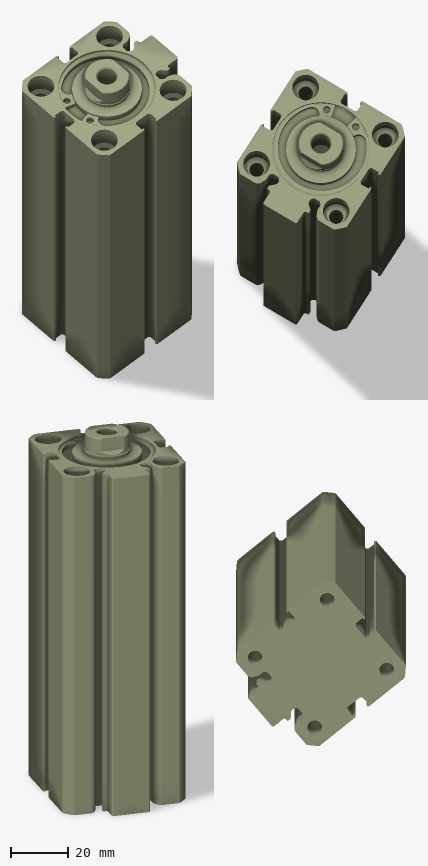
import cadquery as cq
import math

TOTAL_LENGTH = 133.0
ROD_PROJECTION = 7.0
BODY_WIDTH = 45.0
HOUSING_LENGTH = TOTAL_LENGTH - ROD_PROJECTION
HALF_WIDTH = BODY_WIDTH / 2

CORNER_TURN_DIAMETER = 59.2
RAIL_HEIGHT = 5.0
RAIL_WIDTH = 13.8
RAIL_CORNER_CHAMFER = 0.4
RAIL_TOP = HALF_WIDTH + RAIL_HEIGHT

RAIL_LIP_HALF_WIDTH = 8.5
RAIL_LIP_TOP = 22.1
RAIL_LIP_BOTTOM = 20.7
RAIL_LIP_SLOPE = 0.5
RAIL_NECK_HALF_WIDTH = 7.0
RAIL_NECK_TOP = 19.4
UNDERCUT_HALF_WIDTH = 6.4
UNDERCUT_HEIGHT = 18.0
GROOVE_FLOOR = 16.4
GROOVE_FLOOR_START = 7.5
GROOVE_OUTER_WALL = 10.5
GROOVE_FLOOR_CHAMFER = 0.9
GROOVE_WALL_TOP = 19.4
GROOVE_MOUTH = 11.3
GROOVE_MOUTH_HEIGHT = 21.1
GROOVE_ROUND_END = 13.0

SLOT_MOUTH_WIDTH = 6.0
SLOT_THROAT_WIDTH = 5.5
SLOT_WIDTH = 6.9
SLOT_LIP = 0.8
SLOT_DEPTH = 4.5
SLOT_FLOOR_CHAMFER = 0.7

MOUNT_PITCH = 32.6
MOUNT_HOLE_DIAMETER = 5.0
COUNTERBORE_DIAMETER = 9.3
COUNTERBORE_DEPTH = 7.3

RECESS_DIAMETER = 34.0
BORE_DIAMETER = 31.9
BORE_FLOOR = 10.6

RING_TOP_GAP = 0.9
RING_THICKNESS = 1.7
RING_OUTER_DIAMETER = 35.4
RING_INNER_DIAMETER = 31.0
RING_INNER_OFFSET = 0.8
RING_GAP_HALF_ANGLE = 14.7
LUG_END_ANGLE = 34.0
LUG_INNER_RADIUS = 12.4
LUG_FILLET = 2.7
LUG_HOLE_DIAMETER = 2.7
LUG_HOLE_RADIUS = 14.8
LUG_HOLE_ANGLE = 23.7

BOSS_DIAMETER = 24.3
BOSS_TOP_GAP = 0.4
COLLAR_LENGTH = 16.0
FLANGE_THICKNESS = 1.3
FLANGE_TOP = HOUSING_LENGTH - RING_TOP_GAP - RING_THICKNESS
RECESS_FLOOR = FLANGE_TOP - FLANGE_THICKNESS

ROD_DIAMETER = 16.0
ROD_NOSE_DIAMETER = 15.4
ROD_STEP_HEIGHT = 0.5
ROD_END_CHAMFER = 0.3
FLATS_WIDTH = 12.8
FLATS_LENGTH = 4.8
THREAD_HOLE_DIAMETER = 6.9
THREAD_HOLE_DEPTH = 13.3
THREAD_HOLE_MOUTH_DIAMETER = 7.8
DRILL_POINT_ANGLE = 118.0


def cylinder(diameter, bottom, top):
    return cq.Workplane("XY").workplane(offset=bottom).circle(diameter / 2).extrude(top - bottom)


def polar(radius, angle):
    """Point at an angle in degrees from -Y, positive towards +X."""
    return radius * math.sin(math.radians(angle)), -radius * math.cos(math.radians(angle))


def rail_groove_right():
    """Groove between the rail and the +X half of the +Y face, with the space above it."""
    side = RAIL_WIDTH / 2
    return (
        cq.Workplane("XY")
        .moveTo(side - RAIL_CORNER_CHAMFER, RAIL_TOP)
        .lineTo(side, RAIL_TOP - RAIL_CORNER_CHAMFER)
        .lineTo(side, RAIL_LIP_TOP + RAIL_LIP_SLOPE)
        .lineTo(side + RAIL_LIP_SLOPE, RAIL_LIP_TOP)
        .lineTo(RAIL_LIP_HALF_WIDTH, RAIL_LIP_TOP)
        .lineTo(RAIL_LIP_HALF_WIDTH, RAIL_LIP_BOTTOM)
        .lineTo(RAIL_NECK_HALF_WIDTH, RAIL_NECK_TOP)
        .threePointArc((UNDERCUT_HALF_WIDTH, UNDERCUT_HEIGHT), (GROOVE_FLOOR_START, GROOVE_FLOOR))
        .lineTo(GROOVE_OUTER_WALL - GROOVE_FLOOR_CHAMFER, GROOVE_FLOOR)
        .lineTo(GROOVE_OUTER_WALL, GROOVE_FLOOR + GROOVE_FLOOR_CHAMFER)
        .lineTo(GROOVE_OUTER_WALL, GROOVE_WALL_TOP)
        .lineTo(GROOVE_MOUTH, GROOVE_MOUTH_HEIGHT)
        .tangentArcPoint((GROOVE_ROUND_END, HALF_WIDTH), relative=False)
        .lineTo(HALF_WIDTH, HALF_WIDTH)
        .lineTo(HALF_WIDTH, RAIL_TOP)
        .close()
        .extrude(HOUSING_LENGTH)
    )


def t_slot():
    """Lipped slot cut into the -Y face along the whole housing."""
    floor = -HALF_WIDTH + SLOT_DEPTH
    half_profile = [
        (SLOT_MOUTH_WIDTH / 2, -HALF_WIDTH),
        (SLOT_THROAT_WIDTH / 2, -HALF_WIDTH + SLOT_LIP / 2),
        (SLOT_THROAT_WIDTH / 2, -HALF_WIDTH + SLOT_LIP),
        (SLOT_WIDTH / 2, -HALF_WIDTH + SLOT_LIP),
        (SLOT_WIDTH / 2, floor - SLOT_FLOOR_CHAMFER),
        (SLOT_WIDTH / 2 - SLOT_FLOOR_CHAMFER, floor),
    ]
    mirrored = [(-x, y) for x, y in reversed(half_profile)]
    return cq.Workplane("XY").polyline(half_profile + mirrored).close().extrude(HOUSING_LENGTH)


def make_housing():
    square = cq.Workplane("XY").rect(BODY_WIDTH, BODY_WIDTH).extrude(HOUSING_LENGTH)
    housing = square.intersect(cylinder(CORNER_TURN_DIAMETER, 0, HOUSING_LENGTH))
    rail_zone = (
        cq.Workplane("XY")
        .rect(BODY_WIDTH, RAIL_HEIGHT)
        .extrude(HOUSING_LENGTH)
        .translate((0, HALF_WIDTH + RAIL_HEIGHT / 2, 0))
    )
    groove = rail_groove_right()
    housing = housing.union(rail_zone).cut(groove).cut(groove.mirror("YZ"))

    slot = t_slot()
    for angle in (-90, 0, 90):
        housing = housing.cut(slot.rotate((0, 0, 0), (0, 0, 1), angle))

    housing = (
        housing.faces(">Z")
        .workplane(origin=(0, 0, HOUSING_LENGTH))
        .rect(MOUNT_PITCH, MOUNT_PITCH, forConstruction=True)
        .vertices()
        .cboreHole(MOUNT_HOLE_DIAMETER, COUNTERBORE_DIAMETER, COUNTERBORE_DEPTH)
    )
    housing = housing.cut(cylinder(BORE_DIAMETER, BORE_FLOOR, HOUSING_LENGTH))
    housing = housing.cut(cylinder(RECESS_DIAMETER, RECESS_FLOOR, HOUSING_LENGTH))
    ring_groove = cylinder(RING_OUTER_DIAMETER, FLANGE_TOP, FLANGE_TOP + RING_THICKNESS)
    return housing.cut(ring_groove)


def make_collar():
    bottom = RECESS_FLOOR - COLLAR_LENGTH
    collar = cylinder(BORE_DIAMETER, bottom, FLANGE_TOP)
    collar = collar.union(cylinder(RECESS_DIAMETER, RECESS_FLOOR, FLANGE_TOP))
    collar = collar.union(cylinder(BOSS_DIAMETER, bottom, HOUSING_LENGTH - BOSS_TOP_GAP))
    return collar.cut(cylinder(ROD_DIAMETER, bottom, HOUSING_LENGTH))


def ring_sector(start_angle, end_angle, inner_radius):
    """Flat sector between two angles from -Y, out to the ring's outer circle."""
    outer_radius = RING_OUTER_DIAMETER / 2
    middle_angle = (start_angle + end_angle) / 2
    return (
        cq.Workplane("XY")
        .moveTo(*polar(inner_radius, start_angle))
        .lineTo(*polar(outer_radius, start_angle))
        .threePointArc(polar(outer_radius, middle_angle), polar(outer_radius, end_angle))
        .lineTo(*polar(inner_radius, end_angle))
        .threePointArc(polar(inner_radius, middle_angle), polar(inner_radius, start_angle))
        .close()
        .extrude(RING_THICKNESS)
    )


def make_retaining_ring():
    inner = cylinder(RING_INNER_DIAMETER, 0, RING_THICKNESS).translate((0, -RING_INNER_OFFSET, 0))
    ring = cylinder(RING_OUTER_DIAMETER, 0, RING_THICKNESS).cut(inner)
    lugs = ring_sector(-LUG_END_ANGLE, LUG_END_ANGLE, LUG_INNER_RADIUS)
    gap = ring_sector(-RING_GAP_HALF_ANGLE, RING_GAP_HALF_ANGLE, LUG_INNER_RADIUS)
    ring = ring.union(lugs)

    corner_shift = RING_INNER_OFFSET * math.cos(math.radians(LUG_END_ANGLE))
    corner_radius = RING_INNER_DIAMETER / 2 + corner_shift
    for side in (-1, 1):
        corner = polar(corner_radius, side * LUG_END_ANGLE)
        nearest = cq.selectors.NearestToPointSelector((*corner, RING_THICKNESS / 2))
        ring = ring.edges("|Z").edges(nearest).fillet(LUG_FILLET)
    ring = ring.cut(gap)
    for side in (-1, 1):
        hole = cylinder(LUG_HOLE_DIAMETER, 0, RING_THICKNESS)
        ring = ring.cut(hole.translate((*polar(LUG_HOLE_RADIUS, side * LUG_HOLE_ANGLE), 0)))
    return ring.translate((0, 0, FLANGE_TOP))


def wrench_flat():
    """Space beside the +Y flat; its lower end slopes outwards at 45 degrees."""
    top = TOTAL_LENGTH
    bottom = top - FLATS_LENGTH
    inner = FLATS_WIDTH / 2
    reach = ROD_DIAMETER / 2
    profile = [(inner, top), (inner, bottom), (reach, bottom - (reach - inner)), (reach, top)]
    return cq.Workplane("YZ").polyline(profile).close().extrude(reach, both=True)


def make_rod():
    rod_radius = ROD_DIAMETER / 2
    nose_radius = ROD_NOSE_DIAMETER / 2
    shoulder = HOUSING_LENGTH + ROD_STEP_HEIGHT
    nose_start = shoulder + rod_radius - nose_radius
    hole_radius = THREAD_HOLE_DIAMETER / 2
    mouth_radius = THREAD_HOLE_MOUTH_DIAMETER / 2
    hole_bottom = TOTAL_LENGTH - THREAD_HOLE_DEPTH
    drill_point = hole_radius / math.tan(math.radians(DRILL_POINT_ANGLE / 2))
    half_section = [
        (0, BORE_FLOOR),
        (rod_radius, BORE_FLOOR),
        (rod_radius, shoulder),
        (nose_radius, nose_start),
        (nose_radius, TOTAL_LENGTH - ROD_END_CHAMFER),
        (nose_radius - ROD_END_CHAMFER, TOTAL_LENGTH),
        (mouth_radius, TOTAL_LENGTH),
        (hole_radius, TOTAL_LENGTH - (mouth_radius - hole_radius)),
        (hole_radius, hole_bottom),
        (0, hole_bottom - drill_point),
    ]
    rod = cq.Workplane("XZ").polyline(half_section).close().revolve(360, (0, 0, 0), (0, 1, 0))
    flat = wrench_flat()
    return rod.cut(flat).cut(flat.mirror("XZ"))


housing = make_housing()
collar = make_collar()
retaining_ring = make_retaining_ring()
rod = make_rod()

result = cq.Compound.makeCompound([housing.val(), collar.val(), retaining_ring.val(), rod.val()])